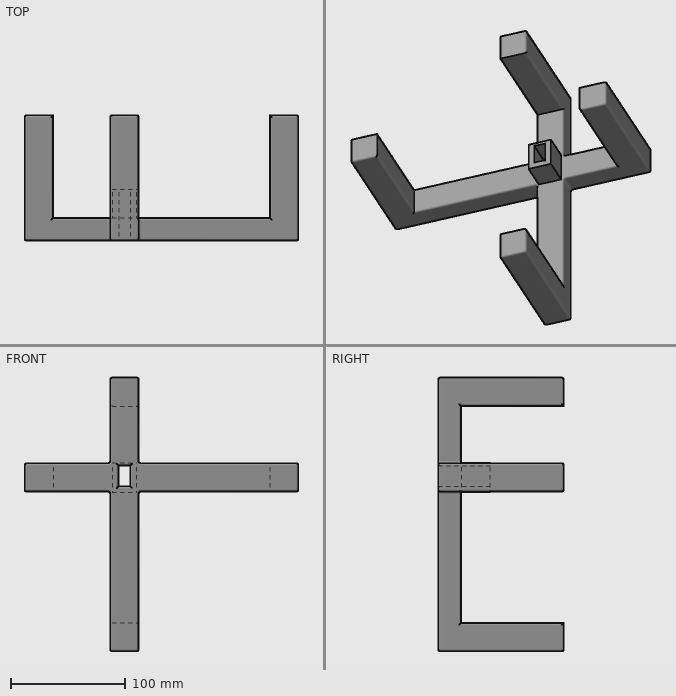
import cadquery as cq

span = 240.0
bar_width = 25.0
bar_depth = 20.0
prong_depth = 110.0
prong_width = bar_width
short_reach = 87.5
long_reach = span - short_reach

edge_radius = 2.0
crossing_radius = edge_radius

hub_width = 21.0
hub_height = 26.2
hub_depth = 45.0
hub_offset_z = -0.1

window_width = 10.2
window_height = 18.0
window_offset_z = 1.25

tolerance = 0.01


def staple():
    """Bar along X whose two ends turn back into prongs along +Y."""
    outline = (
        cq.Workplane("XY")
        .moveTo(-short_reach, 0)
        .lineTo(long_reach, 0)
        .lineTo(long_reach, prong_depth)
        .lineTo(long_reach - prong_width, prong_depth)
        .lineTo(long_reach - prong_width, bar_depth)
        .lineTo(-short_reach + prong_width, bar_depth)
        .lineTo(-short_reach + prong_width, prong_depth)
        .lineTo(-short_reach, prong_depth)
        .close()
    )
    return outline.extrude(bar_width / 2, both=True)


def is_inner_prong_edge(edge):
    """True for the edges across a prong's inner face, which stay sharp."""
    center = edge.Center()
    inner_near = short_reach - prong_width
    inner_far = long_reach - prong_width
    on_x_prong = min(abs(center.x + inner_near), abs(center.x - inner_far)) < tolerance
    on_z_prong = min(abs(center.z - inner_near), abs(center.z + inner_far)) < tolerance
    box = edge.BoundingBox()
    along_x = box.xlen > bar_width - tolerance and max(box.ylen, box.zlen) < tolerance
    along_z = box.zlen > bar_width - tolerance and max(box.xlen, box.ylen) < tolerance
    return (on_x_prong and along_z) or (on_z_prong and along_x)


def is_crossing_edge(edge):
    """True for the edges along Y where the two bars meet."""
    center = edge.Center()
    half = bar_width / 2
    return abs(abs(center.x) - half) < tolerance and abs(abs(center.z) - half) < tolerance


def is_corner_seam(edge):
    """True for the Y-direction seams of the rounded inside corners."""
    center = edge.Center()
    limit = bar_width / 2 + crossing_radius + tolerance
    along_y = edge.BoundingBox().ylen > bar_depth - tolerance
    return along_y and abs(center.x) < limit and abs(center.z) < limit


def rounded_cross():
    """Two crossing staples with their exposed edges rounded."""
    horizontal = staple()
    vertical = staple().rotate((0, 0, 0), (0, 1, 0), 90)
    cross = horizontal.union(vertical)
    inside_corners = [edge for edge in cross.edges("|Y").vals() if is_crossing_edge(edge)]
    cross = cross.newObject(inside_corners).fillet(crossing_radius)
    exposed = [
        edge for edge in cross.edges().vals()
        if not is_inner_prong_edge(edge) and not is_corner_seam(edge)
    ]
    return cross.newObject(exposed).fillet(edge_radius)


def hub():
    """Plain block behind the crossing, starting inside it so the front face stays whole."""
    embedded_start = edge_radius
    length = hub_depth - embedded_start
    block = cq.Workplane("XY").box(hub_width, length, hub_height, centered=(True, False, True))
    return block.translate((0, embedded_start, hub_offset_z))


def cut_window(body):
    """Cut the window through the crossing and hub and round its front rim."""
    window = cq.Workplane("XY").box(window_width, hub_depth, window_height, centered=(True, False, True))
    body = body.cut(window.translate((0, 0, window_offset_z)))
    rim = body.faces("<Y").wires(cq.selectors.AreaNthSelector(0)).edges()
    return rim.fillet(edge_radius)


result = cut_window(rounded_cross().union(hub()))